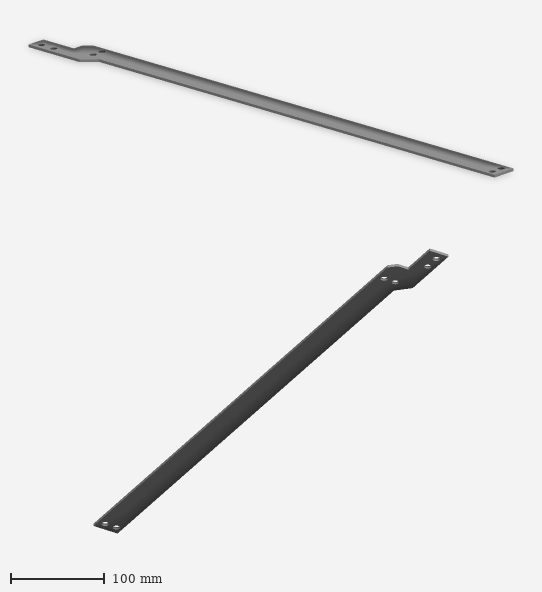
import cadquery as cq

length = 664.0
width = 44.5
thickness = 3.0

strip_width = 30.0
tab_width = 23.0
tab_length = 44.5
top_chamfer = 8.0
lower_step = width - strip_width
lower_edge_length = 74.5

hole_diameter = 8.0
strip_hole_spacing = 14.0
strip_hole_top_margin = 8.5
strip_hole_columns = (74.0, length - 10.0)
tab_hole_start = 10.5
tab_hole_spacing = 18.0
tab_hole_height = 8.5


def make_plate():
    """Stepped strip outline, with its lower left corner at the origin."""
    return (
        cq.Workplane("XY")
        .moveTo(0, 0)
        .lineTo(lower_edge_length, 0)
        .lineTo(lower_edge_length + lower_step, lower_step)
        .lineTo(length, lower_step)
        .lineTo(length, width)
        .lineTo(tab_length + top_chamfer, width)
        .lineTo(tab_length, width - top_chamfer)
        .lineTo(tab_length, tab_width)
        .lineTo(0, tab_width)
        .close()
        .extrude(thickness)
    )


def hole_centers():
    """Two holes along the tab and a pair across the strip at each column."""
    centers = [(tab_hole_start + i * tab_hole_spacing, tab_hole_height) for i in range(2)]
    for x in strip_hole_columns:
        for i in range(2):
            centers.append((x, width - strip_hole_top_margin - i * strip_hole_spacing))
    return centers


holes = (
    cq.Workplane("XY")
    .pushPoints(hole_centers())
    .circle(hole_diameter / 2)
    .extrude(thickness)
)

result = make_plate().cut(holes)